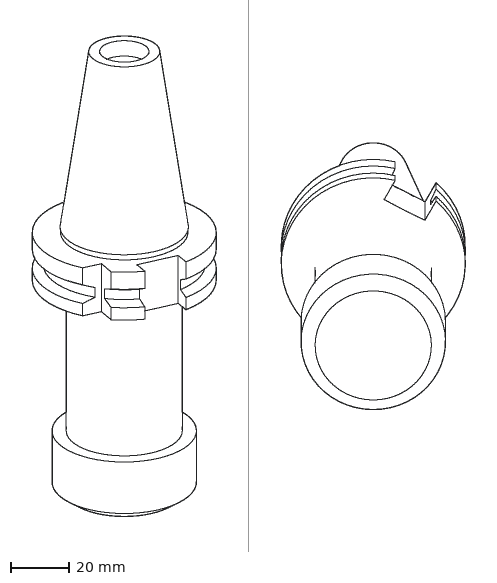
import cadquery as cq

total_height = 168.4

nut_radius = 49.8 / 2
nut_height = 23.2
nut_chamfer_height = 3.5
nut_face_radius = 20.0

body_radius = 40.0 / 2
body_fillet = 5.0

flange_radius = 63.5 / 2
flange_top = 99.2
flange_height = 18.4
flange_bottom = flange_top - flange_height
groove_radius = 55.9 / 2
groove_upper_edge = flange_top - 6.5
groove_floor_top = flange_top - 8.6
groove_floor_bottom = flange_top - 12.3
groove_lower_edge = flange_top - 13.6

taper_large_radius = 44.3 / 2
taper_small_radius = 24.6 / 2
taper_bottom = flange_top + 2.0
relief_radius = 44.0 / 2
relief_top = flange_top + 1.0

bore_diameter = 17.0
bore_depth = 5.9

slot_width = 16.0
left_slot_floor = -22.7
right_slot_floor = 25.0
notch_x = 18.5
notch_y = -18.5


def turned_body():
    """Revolve the half profile of all turned surfaces about Z."""
    bend = body_fillet * (1 - 0.5 ** 0.5)
    profile = (
        cq.Workplane("XZ")
        .moveTo(0, 0)
        .lineTo(nut_face_radius, 0)
        .lineTo(nut_radius, nut_chamfer_height)
        .lineTo(nut_radius, nut_height)
        .lineTo(body_radius, nut_height)
        .lineTo(body_radius, flange_bottom - body_fillet)
        .threePointArc(
            (body_radius + bend, flange_bottom - bend),
            (body_radius + body_fillet, flange_bottom),
        )
        .lineTo(flange_radius, flange_bottom)
        .lineTo(flange_radius, groove_lower_edge)
        .lineTo(groove_radius, groove_floor_bottom)
        .lineTo(groove_radius, groove_floor_top)
        .lineTo(flange_radius, groove_upper_edge)
        .lineTo(flange_radius, flange_top)
        .lineTo(relief_radius, flange_top)
        .lineTo(relief_radius, relief_top)
        .lineTo(taper_large_radius, taper_bottom)
        .lineTo(taper_small_radius, total_height)
        .lineTo(0, total_height)
        .close()
    )
    return profile.revolve(360, (0, 0, 0), (0, 1, 0))


def flange_cutter(x_start, x_end, y_start, y_end):
    """Box over the given XY range, as tall as the flange and its fillet."""
    cut_bottom = flange_bottom - body_fillet
    return cq.Workplane("XY").box(
        x_end - x_start, y_end - y_start, flange_top - cut_bottom, centered=False
    ).translate((x_start, y_start, cut_bottom))


def drive_slots():
    half_width = slot_width / 2
    left = flange_cutter(-flange_radius, left_slot_floor, -half_width, half_width)
    right = flange_cutter(right_slot_floor, flange_radius, -half_width, half_width)
    return left.union(right)


def orientation_notch():
    return flange_cutter(notch_x, flange_radius, -flange_radius, notch_y)


def taper_bore():
    return (
        cq.Workplane("XY", origin=(0, 0, total_height - bore_depth))
        .circle(bore_diameter / 2)
        .extrude(bore_depth)
    )


result = turned_body().cut(drive_slots()).cut(orientation_notch()).cut(taper_bore())